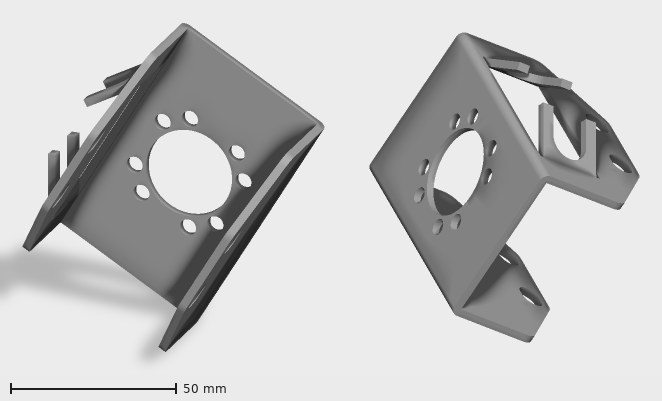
import cadquery as cq
import math

TILT = 31.0
WIDTH = 54.0
LENGTH = 80.0
DEPTH = 47.0
THICKNESS = 2.5

BORE_DIAMETER = 28.0
SCREW_DIAMETER = 5.2
SCREW_RADIUS = 17.6
SCREW_ANGLES = (30, 60, 120, 150, 210, 240, 300, 330)

TIP_LENGTH = 29.7
TAPER_DEPTH = 16.6
CORNER_RADIUS = 5.0
SLOT_WIDTH = 7.3
SLOT_LENGTH = 9.4
SLOT_SPACING = 22.6
SLOT_DEPTH = 41.0

WINDOW_LENGTH = 55.9
WINDOW_WIDTH = 22.9
WINDOW_DEPTH = 14.9
TAB_ANGLE = 31.0
TAB_WIDTH = 20.3
TAB_STRAIGHT = 18.0
BEND_RADIUS = THICKNESS
FORK_WIDTH = 12.6
FORK_DEPTH = 16.2

BACK_Y = DEPTH / 2
OUTER_X = -WIDTH / 2
INNER_X = OUTER_X + THICKNESS
WINDOW_Y = BACK_Y - WINDOW_DEPTH


def make_channel():
    """U-shaped channel with rounded outer bends and tapered flanges."""
    channel = (
        cq.Workplane("XY").box(WIDTH, DEPTH, LENGTH)
        .edges("|Z and >Y").fillet(THICKNESS)
    )
    inside = cq.Workplane("XY").box(WIDTH - 2 * THICKNESS, DEPTH, LENGTH)
    channel = channel.cut(inside.translate((0, -THICKNESS, 0)))

    half_length = LENGTH / 2
    half_tip = TIP_LENGTH / 2
    taper_y = TAPER_DEPTH - DEPTH / 2
    profile = (
        cq.Workplane("YZ")
        .polyline([
            (BACK_Y, -half_length),
            (taper_y, -half_length),
            (-BACK_Y, -half_tip),
            (-BACK_Y, half_tip),
            (taper_y, half_length),
            (BACK_Y, half_length),
        ])
        .close().extrude(WIDTH / 2, both=True)
        .edges("|X and (not >Y)").fillet(CORNER_RADIUS)
    )
    return channel.intersect(profile)


def make_motor_holes():
    """Central bore and its ring of screw holes through the back plate."""
    angles = [math.radians(angle) for angle in SCREW_ANGLES]
    screws = [(SCREW_RADIUS * math.cos(a), SCREW_RADIUS * math.sin(a)) for a in angles]
    back = cq.Workplane("XZ")
    bore = back.circle(BORE_DIAMETER / 2).extrude(-DEPTH)
    return bore.union(back.pushPoints(screws).circle(SCREW_DIAMETER / 2).extrude(-DEPTH))


def make_flange_slots():
    """Two short slots passing through both flanges near their tips."""
    slot_y = BACK_Y - SLOT_DEPTH
    return (
        cq.Workplane("YZ")
        .pushPoints([(slot_y, -SLOT_SPACING / 2), (slot_y, SLOT_SPACING / 2)])
        .slot2D(SLOT_LENGTH, SLOT_WIDTH, 90)
        .extrude(WIDTH, both=True)
    )


def make_window():
    """Rectangular opening through the -X flange."""
    return (
        cq.Workplane("XY").box(THICKNESS, WINDOW_WIDTH, WINDOW_LENGTH)
        .translate((OUTER_X + THICKNESS / 2, WINDOW_Y, 0))
    )


def make_lower_tab():
    """Forked tab leaning outward from the lower end of the window."""
    angle = math.radians(TAB_ANGLE)
    sine = math.sin(angle)
    cosine = math.cos(angle)
    end_z = -WINDOW_LENGTH / 2
    center_x = OUTER_X - BEND_RADIUS

    def bend_point(radius, turn):
        """Point on an arc about the bend axis after the given turn."""
        return (center_x + radius * math.cos(turn), end_z + radius * math.sin(turn))

    def tip_point(radius):
        """End of the straight tab face that leaves the bend at the given radius."""
        x, z = bend_point(radius, angle)
        return (x - TAB_STRAIGHT * sine, z + TAB_STRAIGHT * cosine)

    outside = BEND_RADIUS + THICKNESS
    tip_x, tip_z = tip_point(BEND_RADIUS)
    tab = (
        cq.Workplane("XZ")
        .moveTo(OUTER_X, end_z)
        .threePointArc(bend_point(BEND_RADIUS, angle / 2), bend_point(BEND_RADIUS, angle))
        .lineTo(tip_x, tip_z)
        .lineTo(*tip_point(outside))
        .lineTo(*bend_point(outside, angle))
        .threePointArc(bend_point(outside, angle / 2), (INNER_X, end_z))
        .close().extrude(TAB_WIDTH / 2, both=True)
        .translate((0, WINDOW_Y, 0))
    )

    face = cq.Plane(origin=(tip_x, WINDOW_Y, tip_z), xDir=(0, 1, 0), normal=(cosine, 0, sine))
    straight_depth = FORK_DEPTH - FORK_WIDTH / 2
    fork = (
        cq.Workplane(face)
        .moveTo(-FORK_WIDTH / 2, 0)
        .lineTo(-FORK_WIDTH / 2, -straight_depth)
        .threePointArc((0, -FORK_DEPTH), (FORK_WIDTH / 2, -straight_depth))
        .lineTo(FORK_WIDTH / 2, 0)
        .close().extrude(THICKNESS)
    )
    return tab.cut(fork)


lower_tab = make_lower_tab()
bracket = (
    make_channel()
    .cut(make_motor_holes())
    .cut(make_flange_slots())
    .cut(make_window())
    .union(lower_tab)
    .union(lower_tab.mirror("XY"))
)
result = bracket.rotate((0, 0, 0), (0, 1, 0), TILT)